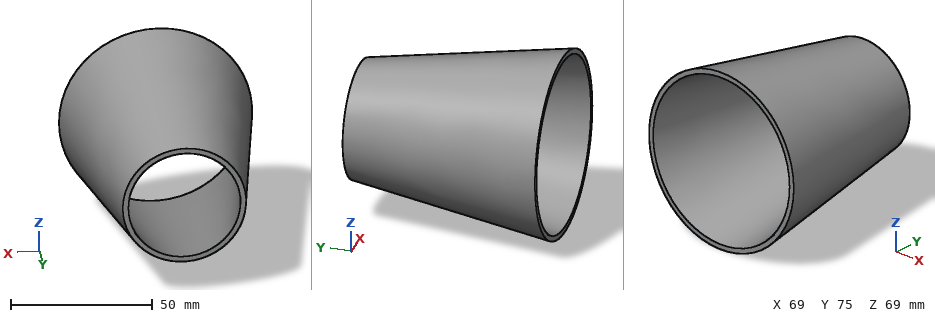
import cadquery as cq

length = 75.0
wide_diameter = 69.0
narrow_diameter = 44.0
wall = 2.0

wide_radius = wide_diameter / 2
narrow_radius = narrow_diameter / 2


def reducer():
    """Revolve the slanted wall section around the Y axis."""
    wall_section = [
        (wide_radius - wall, 0),
        (wide_radius, 0),
        (narrow_radius, length),
        (narrow_radius - wall, length),
    ]
    return (
        cq.Workplane("XY")
        .polyline(wall_section)
        .close()
        .revolve(360, (0, 0, 0), (0, 1, 0))
    )


result = reducer()